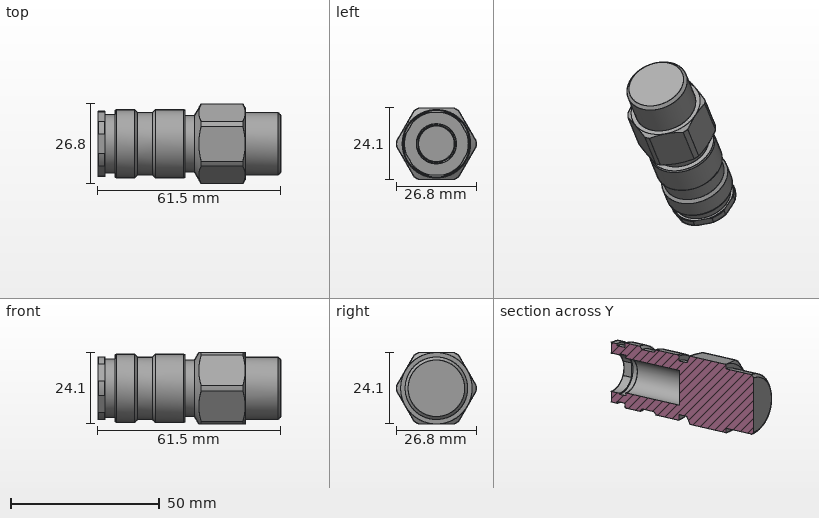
import cadquery as cq
import math

collar_length = 2.5
sleeve_start = 5.8
grip_groove_start = 12.35
grip_groove_end = 19.35
sleeve_end = 29.35
hex_start = 32.45
hex_end = 49.5
total_length = 61.5

collar_neck_diameter = 19.75
sleeve_diameter = 23.0
grip_groove_diameter = 21.0
spigot_diameter = 21.0
body_neck_diameter = 19.0

sleeve_chamfer_length = 0.55
sleeve_chamfer_depth = 0.3
groove_depth = (sleeve_diameter - grip_groove_diameter) / 2
spigot_chamfer = 1.0

hex_sides = 6
cone_slope = math.tan(math.radians(60))

collar_across_flats = 21.0
collar_diameter = 22.0
collar_face_diameter = 21.4

hex_across_flats = 24.08
hex_corner_diameter = 26.8
hex_rear_face_diameter = 24.0
hex_front_face_diameter = body_neck_diameter

mouth_diameter = 13.5
mouth_bore_diameter = 13.3
mouth_flat_distance = 6.15
mouth_flat_count = 3
mouth_chamfer_length = 0.65
mouth_length = 3.75
seal_diameter = 14.0
seal_end = 6.2
socket_diameter = 12.0
socket_chamfer = 0.25
socket_depth = sleeve_end


def revolve_about_x(profile):
    """Revolve (station, diameter) pairs, closed down to the X axis."""
    points = [(station, diameter / 2) for station, diameter in profile]
    axis_points = [(profile[-1][0], 0), (profile[0][0], 0)]
    outline = cq.Workplane("XY").polyline(points + axis_points).close()
    return outline.revolve(360, (0, 0, 0), (1, 0, 0))


def hex_prism(start, end, across_flats):
    """Hexagonal prism along X with two of its flats facing +Z and -Z."""
    across_corners = across_flats / math.cos(math.pi / hex_sides)
    return cq.Workplane("YZ", origin=(start, 0, 0)).polygon(hex_sides, across_corners).extrude(end - start)


def make_release_collar():
    bevel = (collar_diameter - collar_face_diameter) / 2 / cone_slope
    envelope = revolve_about_x([
        (0, collar_face_diameter),
        (bevel, collar_diameter),
        (collar_length - bevel, collar_diameter),
        (collar_length, collar_face_diameter),
    ])
    return hex_prism(0, collar_length, collar_across_flats).intersect(envelope)


def make_turned_body():
    sleeve_edge_diameter = sleeve_diameter - 2 * sleeve_chamfer_depth
    return revolve_about_x([
        (collar_length, collar_neck_diameter),
        (sleeve_start, collar_neck_diameter),
        (sleeve_start, sleeve_edge_diameter),
        (sleeve_start + sleeve_chamfer_length, sleeve_diameter),
        (grip_groove_start, sleeve_diameter),
        (grip_groove_start + groove_depth, grip_groove_diameter),
        (grip_groove_end - groove_depth, grip_groove_diameter),
        (grip_groove_end, sleeve_diameter),
        (sleeve_end - sleeve_chamfer_length, sleeve_diameter),
        (sleeve_end, sleeve_edge_diameter),
        (sleeve_end, body_neck_diameter),
        (hex_end, body_neck_diameter),
        (hex_end, spigot_diameter),
        (total_length - spigot_chamfer, spigot_diameter),
        (total_length, spigot_diameter - 2 * spigot_chamfer),
    ])


def make_wrench_hex():
    front_cone = (hex_corner_diameter - hex_front_face_diameter) / 2 / cone_slope
    rear_cone = (hex_corner_diameter - hex_rear_face_diameter) / 2 / cone_slope
    envelope = revolve_about_x([
        (hex_start, hex_front_face_diameter),
        (hex_start + front_cone, hex_corner_diameter),
        (hex_end - rear_cone, hex_corner_diameter),
        (hex_end, hex_rear_face_diameter),
    ])
    return hex_prism(hex_start, hex_end, hex_across_flats).intersect(envelope)


def make_socket_mouth():
    """Round opening narrowed by three flats, with a conical lead-in."""
    mouth = revolve_about_x([(0, mouth_bore_diameter), (mouth_length, mouth_bore_diameter)])
    for index in range(mouth_flat_count):
        flat = (
            cq.Workplane("XY")
            .box(mouth_length, mouth_diameter, mouth_diameter, centered=(False, False, True))
            .translate((0, mouth_flat_distance, 0))
            .rotate((0, 0, 0), (1, 0, 0), index * 360 / mouth_flat_count)
        )
        mouth = mouth.cut(flat)
    lead_in = revolve_about_x([
        (0, mouth_diameter),
        (mouth_chamfer_length, 2 * mouth_flat_distance),
    ])
    return mouth.union(lead_in)


def make_socket_bore():
    return revolve_about_x([
        (mouth_length, seal_diameter),
        (seal_end, seal_diameter),
        (seal_end, socket_diameter + 2 * socket_chamfer),
        (seal_end + socket_chamfer, socket_diameter),
        (socket_depth, socket_diameter),
    ])


outside = make_turned_body().union(make_release_collar()).union(make_wrench_hex())
result = outside.cut(make_socket_mouth()).cut(make_socket_bore())